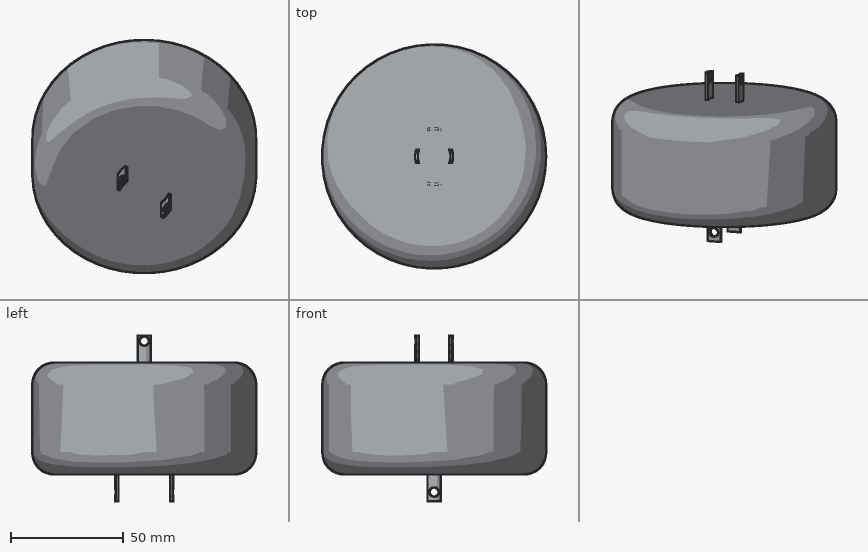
import cadquery as cq

body_diameter = 100
body_height = 50
edge_radius = 10

blade_length = 12
blade_width = 6
blade_thickness = 1.2
blade_hole_diameter = 4
top_blade_radius = 8.5
top_hole_from_tip = 2.5
bottom_blade_radius = 13
bottom_hole_from_tip = 4.2


def blade_pair(outer_radius, hole_from_tip):
    """Two blades facing each other along X, rising from the XY plane.

    Both are cut from one tube on the Z axis, so they curve around that axis.
    """
    tube = (
        cq.Workplane("XY")
        .circle(outer_radius)
        .circle(outer_radius - blade_thickness)
        .extrude(blade_length)
    )
    strip = cq.Workplane("XY").rect(2 * outer_radius, blade_width).extrude(blade_length)
    hole = (
        cq.Workplane("YZ")
        .center(0, blade_length - hole_from_tip)
        .circle(blade_hole_diameter / 2)
        .extrude(outer_radius, both=True)
    )
    return tube.intersect(strip).cut(hole)


body = (
    cq.Workplane("XY")
    .cylinder(body_height, body_diameter / 2)
    .faces("|Z")
    .edges()
    .fillet(edge_radius)
)

top_blades = blade_pair(top_blade_radius, top_hole_from_tip).translate((0, 0, body_height / 2))

bottom_blades = (
    blade_pair(bottom_blade_radius, bottom_hole_from_tip)
    .rotate((0, 0, 0), (1, 0, 0), 180)
    .rotate((0, 0, 0), (0, 0, 1), 90)
    .translate((0, 0, -body_height / 2))
)

result = body.union(top_blades).union(bottom_blades)